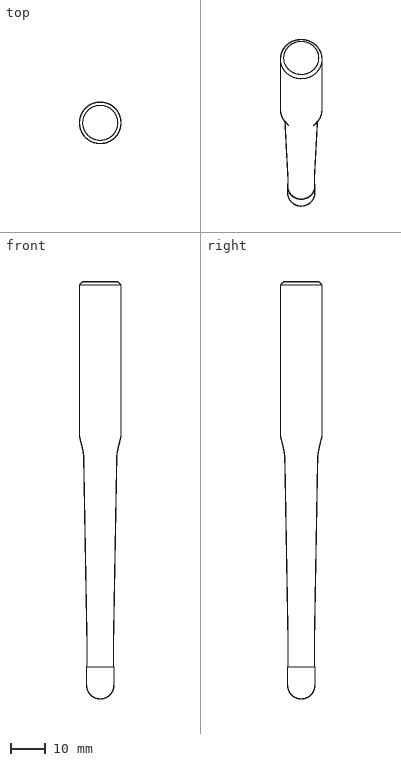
import cadquery as cq

TOTAL_LENGTH = 120.0
HEAD_TOP = 9.2
NECK_TOP = 16.1
TAPER_TOP = 70.0
SHOULDER_BOTTOM = 72.6
SHOULDER_TOP = 75.5

SHANK_RADIUS = 6.0
SHOULDER_BOTTOM_RADIUS = 5.3
TAPER_TOP_RADIUS = 4.8
NECK_RADIUS = 3.8
BALL_RADIUS = 4.0

END_CHAMFER = 1.0


def revolve_about_z(profile):
    """Turn a closed half-profile, drawn in XZ, about the Z axis."""
    return profile.close().revolve(360, (0, 0), (0, 1))


def make_cutting_head():
    """Short cylinder ending in a hemispherical tip at the origin."""
    profile = (
        cq.Workplane("XZ")
        .moveTo(0, 0)
        .radiusArc((BALL_RADIUS, BALL_RADIUS), -BALL_RADIUS)
        .lineTo(BALL_RADIUS, HEAD_TOP)
        .lineTo(0, HEAD_TOP)
    )
    return revolve_about_z(profile)


def make_shank():
    """Straight neck, long taper, blended conical shoulder and chamfered shank."""
    profile = (
        cq.Workplane("XZ")
        .moveTo(0, TOTAL_LENGTH)
        .lineTo(SHANK_RADIUS - END_CHAMFER, TOTAL_LENGTH)
        .lineTo(SHANK_RADIUS, TOTAL_LENGTH - END_CHAMFER)
        .lineTo(SHANK_RADIUS, SHOULDER_TOP)
        .lineTo(SHOULDER_BOTTOM_RADIUS, SHOULDER_BOTTOM)
        .tangentArcPoint((TAPER_TOP_RADIUS, TAPER_TOP), relative=False)
        .lineTo(NECK_RADIUS, NECK_TOP)
        .lineTo(NECK_RADIUS, HEAD_TOP)
        .lineTo(0, HEAD_TOP)
    )
    return revolve_about_z(profile)


cutting_head = make_cutting_head()
shank = make_shank()

result = cq.Compound.makeCompound([cutting_head.val(), shank.val()])